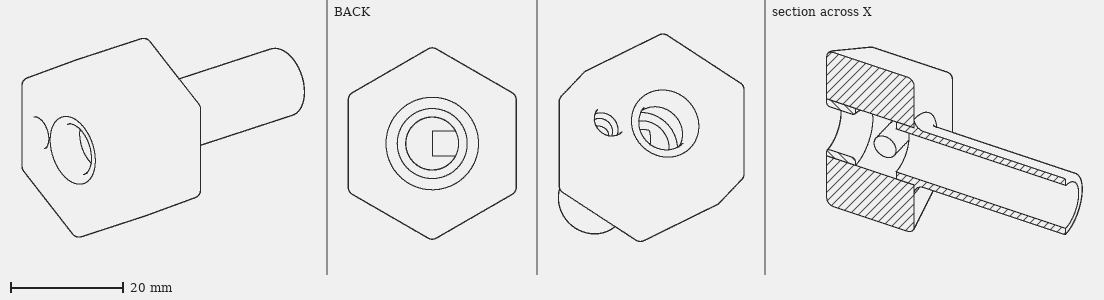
import cadquery as cq
import math

across_flats = 30.0
head_depth = 18.0
head_edge_radius = 1.45
total_length = 49.0

stem_diameter = 12.5
stem_root_radius = 2.0
stem_end_radius = 0.3

bore_diameter = 9.4
bushing_diameter = stem_diameter
bushing_length = 6.0
bushing_edge_radius = 0.75

pin_diameter = 4.5
pin_offset = 10.0
pin_depth = 12.0
stem_start = pin_depth + pin_diameter / 2

side_hole_diameter = 5.9
side_hole_mouth_radius = 0.7
side_hole_straight_depth = 6.0
taper_slope = 60.0
drill_tip_slope = 31.0


def cylinder_along_y(diameter, start, end):
    """Solid cylinder on the Y axis from Y = start to Y = end."""
    return cq.Workplane("XZ", origin=(0, start, 0)).circle(diameter / 2).extrude(start - end)


def make_head():
    """Hexagonal head with vertical left and right flats and every edge rounded."""
    across_corners = across_flats / math.cos(math.radians(30))
    return (
        cq.Workplane("XZ")
        .transformed(rotate=(0, 0, 90))
        .polygon(6, across_corners)
        .extrude(-head_depth)
        .edges()
        .fillet(head_edge_radius)
    )


def make_stem():
    """Hollow stem that plugs into the head, flared at the rear face and lightly rounded at its free end."""
    radius = stem_diameter / 2
    root_inset = stem_root_radius * (1 - math.sqrt(0.5))
    end_inset = stem_end_radius * (1 - math.sqrt(0.5))
    return (
        cq.Workplane("XY")
        .moveTo(bore_diameter / 2, stem_start)
        .lineTo(radius, stem_start)
        .lineTo(radius, head_depth)
        .lineTo(radius + stem_root_radius, head_depth)
        .threePointArc(
            (radius + root_inset, head_depth + root_inset),
            (radius, head_depth + stem_root_radius),
        )
        .lineTo(radius, total_length - stem_end_radius)
        .threePointArc(
            (radius - end_inset, total_length - end_inset),
            (radius - stem_end_radius, total_length),
        )
        .lineTo(bore_diameter / 2, total_length)
        .close()
        .revolve(360, (0, 0, 0), (0, 1, 0))
    )


def make_side_hole():
    """Cutter for the side hole: rounded mouth, straight bore, taper, pilot bore and drill tip."""
    hole_radius = side_hole_diameter / 2
    pilot_radius = pin_diameter / 2
    mouth_inset = side_hole_mouth_radius * (1 - math.sqrt(0.5))
    taper_depth = (hole_radius - pilot_radius) * math.tan(math.radians(taper_slope))
    tip_depth = pilot_radius * math.tan(math.radians(drill_tip_slope))
    return (
        cq.Workplane("XY")
        .lineTo(hole_radius + side_hole_mouth_radius, 0)
        .threePointArc(
            (hole_radius + mouth_inset, mouth_inset),
            (hole_radius, side_hole_mouth_radius),
        )
        .lineTo(hole_radius, side_hole_straight_depth)
        .lineTo(pilot_radius, side_hole_straight_depth + taper_depth)
        .lineTo(pilot_radius, pin_depth)
        .lineTo(0, pin_depth + tip_depth)
        .close()
        .revolve(360, (0, 0, 0), (0, 1, 0))
        .translate((-pin_offset, 0, 0))
    )


def make_pin():
    """Cross pin along X, from the side hole's axis to the stem axis."""
    return (
        cq.Workplane("YZ", origin=(-pin_offset, pin_depth, 0))
        .circle(pin_diameter / 2)
        .extrude(pin_offset)
    )


def make_knob():
    """Hexagonal knob with a through socket for the bushing and stem, a side hole and a pin hole."""
    return (
        make_head()
        .cut(cylinder_along_y(stem_diameter, 0, head_depth))
        .cut(make_side_hole())
        .cut(make_pin())
    )


def make_bushing():
    """Bushing flush with the front face, its bore rounded at both ends."""
    bushing = cylinder_along_y(bushing_diameter, 0, bushing_length)
    bushing = bushing.cut(cylinder_along_y(bore_diameter, 0, bushing_length))
    bore_rims = cq.selectors.RadiusNthSelector(0)
    return bushing.edges("%CIRCLE").edges(bore_rims).fillet(bushing_edge_radius)


knob = make_knob()
bushing = make_bushing()
stem = make_stem()
pin = make_pin()

result = cq.Compound.makeCompound([*knob.solids().vals(), *bushing.solids().vals(), stem.val(), pin.val()])